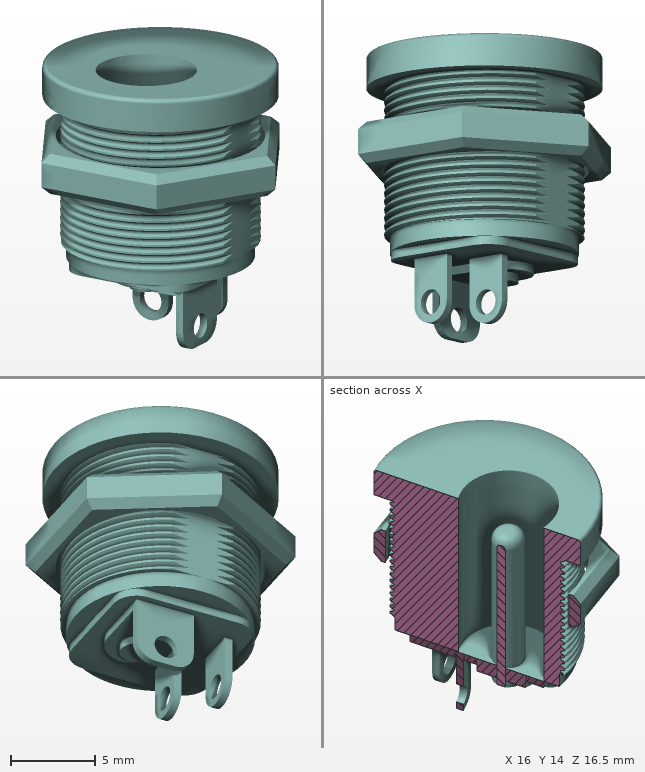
import cadquery as cq
import math


head_diameter = 14.0
head_height = 2.0
head_fillet = 0.25
flat_width = 11.2
thread_length = 9.0
tail_diameter = flat_width
tail_height = 1.0
bore_diameter = 6.0
bore_y = -1.6
housing_bottom = -(thread_length + tail_height)

pitch = 0.5
thread_depth = 0.27
thread_diameter = 11.88
groove_root_width = pitch / 8
flank_angle = 30.0
half_turn_rise = pitch / 2
groove_start_z = -pitch / 4
groove_overshoot = 0.03

nut_corner_diameter = 16.0
nut_height = 2.5
nut_chamfer = 0.5
nut_bore_diameter = 12.4
nut_top = -2.5

plate_x = 8.5
plate_y = 9.0
plate_corner_radius = 1.5
sheet = 0.5
plate_bottom = housing_bottom - sheet

pin_diameter = 2.0
pin_top = 0.0
pin_tip_fillet = 0.75
pin_bottom = plate_bottom - 2 * sheet

terminal_drop = 4.0
terminal_bottom = plate_bottom - terminal_drop
eye_diameter = 1.5
eye_height = 1.25
lug_width = 2.5
inner_lug_y = 1.15
outer_lug_y = 3.25
lug_positions = [(-lug_width / 2, inner_lug_y), (lug_width / 2, outer_lug_y)]
pin_terminal_width = 3.8
pin_terminal_reach = 3.75
pin_terminal_corner_radius = 1.25
pin_eye_y = -1.55
pin_eye_height = 1.2


def cylinder(diameter, bottom, top, y=0):
    """Upright cylinder on the plane X = 0."""
    return cq.Workplane("XY", origin=(0, y, bottom)).circle(diameter / 2).extrude(top - bottom)


def make_half_turn_groove():
    """Cutter for half a turn of the thread groove, rising from the +X side round to the -X side."""
    root_radius = thread_diameter / 2 - thread_depth
    outer_radius = thread_diameter / 2 + groove_overshoot
    half_root = groove_root_width / 2
    half_mouth = half_root + (outer_radius - root_radius) * math.tan(math.radians(flank_angle))
    path = cq.Wire.makeHelix(pitch, half_turn_rise, root_radius)
    return (
        cq.Workplane("XZ")
        .moveTo(root_radius, -half_root)
        .lineTo(outer_radius, -half_mouth)
        .lineTo(outer_radius, half_mouth)
        .lineTo(root_radius, half_root)
        .close()
        .sweep(cq.Workplane(path), isFrenet=True)
    )


def make_threaded_stem():
    """Threaded cylinder with two flats, deeper than the groove, that cut every turn into two halves."""
    flats = cq.Workplane("XY").box(flat_width, thread_diameter, 3 * thread_length)
    stem = cylinder(thread_diameter, -thread_length, 0).intersect(flats)
    groove = make_half_turn_groove()
    half_turns = math.ceil(thread_length / half_turn_rise)
    for index in range(-half_turns - 1, 2):
        turned = groove.rotate((0, 0, 0), (0, 0, 1), 180 * index)
        stem = stem.cut(turned.translate((0, 0, groove_start_z + index * half_turn_rise)))
    return stem


def make_housing():
    head = cylinder(head_diameter, 0, head_height).faces(">Z").edges().fillet(head_fillet)
    tail = cylinder(tail_diameter, housing_bottom, -thread_length)
    bore = cylinder(bore_diameter, housing_bottom, head_height, bore_y)
    return make_threaded_stem().union(head).union(tail).cut(bore)


def make_nut():
    blank = cq.Workplane("XY", origin=(0, 0, nut_top - nut_height)).polygon(6, nut_corner_diameter)
    blank = blank.extrude(nut_height).faces("<Z or >Z").edges().chamfer(nut_chamfer)
    return blank.cut(cylinder(nut_bore_diameter, nut_top - nut_height, nut_top))


def make_pin():
    return cylinder(pin_diameter, pin_bottom, pin_top, bore_y).faces(">Z").edges().fillet(pin_tip_fillet)


def make_lug(x, y):
    """Flat solder lug that passes through the plate and ends in a round eye."""
    eye_z = terminal_bottom + eye_height
    lug = (
        cq.Workplane("XZ", origin=(x, y + sheet / 2, 0))
        .moveTo(-lug_width / 2, housing_bottom)
        .lineTo(-lug_width / 2, eye_z)
        .threePointArc((0, terminal_bottom), (lug_width / 2, eye_z))
        .lineTo(lug_width / 2, housing_bottom)
        .close()
        .extrude(sheet)
    )
    eye = cq.Workplane("XZ", origin=(x, y + sheet / 2, eye_z)).circle(eye_diameter / 2).extrude(sheet)
    return lug.cut(eye)


def make_pin_terminal(pin):
    """Round-ended pad set into the plate around the pin, with a leg bent down at its far end."""
    bottom = plate_bottom - sheet
    height = housing_bottom - bottom
    pad = cylinder(pin_terminal_width, bottom, housing_bottom, bore_y)
    arm = cq.Workplane("XY", origin=(0, bore_y, bottom))
    arm = arm.box(pin_terminal_reach, pin_terminal_width, height, centered=(False, True, False))
    leg = cq.Workplane("XY", origin=(pin_terminal_reach - sheet, bore_y, terminal_bottom))
    leg = leg.box(sheet, pin_terminal_width, terminal_drop, centered=(False, True, False))
    leg = leg.faces("<Z").edges("|X").fillet(pin_terminal_corner_radius)
    eye = cq.Workplane("YZ", origin=(0, pin_eye_y, terminal_bottom + pin_eye_height))
    eye = eye.circle(eye_diameter / 2).extrude(pin_terminal_reach)
    return pad.union(arm).union(leg.cut(eye)).cut(pin)


def make_plate(inserts):
    """Rounded rectangular plate with a matching opening for each part that passes through it."""
    plate = cq.Workplane("XY", origin=(0, 0, plate_bottom)).rect(plate_x, plate_y).extrude(sheet)
    plate = plate.edges("|Z").fillet(plate_corner_radius)
    for insert in inserts:
        plate = plate.cut(insert)
    return plate


housing = make_housing()
nut = make_nut()
pin = make_pin()
lugs = [make_lug(x, y) for x, y in lug_positions]
pin_terminal = make_pin_terminal(pin)
plate = make_plate([pin, pin_terminal, *lugs])

result = cq.Compound.makeCompound(
    [housing.val(), nut.val(), plate.val(), pin.val(), pin_terminal.val(), *[lug.val() for lug in lugs]]
)